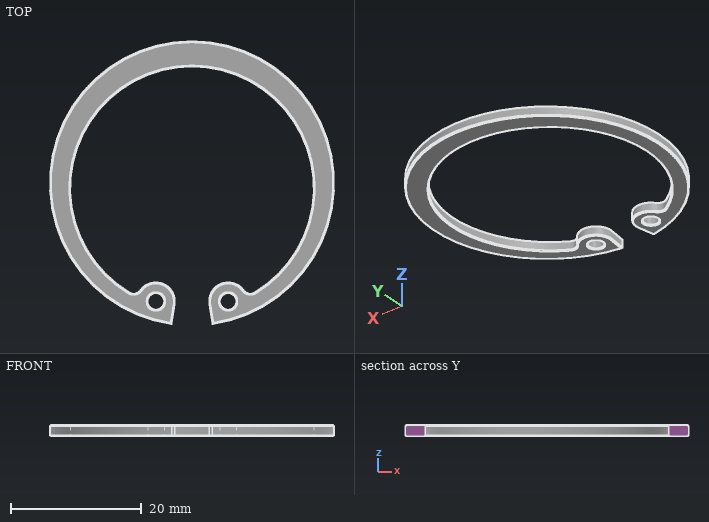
import cadquery as cq
import math

outer_radius = 21.7
thickness = 1.75
bore_radius = 18.6
bore_offset = 0.75
lug_radius = 2.9
lug_x = 5.5
lug_y = -18.03
lug_hole_diameter = 2.5
valley_radius = 1.3
tip_x = 3.13
edge_break = 0.17


def polar(center, radius, angle):
    """Point at the given radius and angle (radians) from center."""
    return (center[0] + radius * math.cos(angle), center[1] + radius * math.sin(angle))


def direction(start, end):
    """Angle of the line from start to end, in radians."""
    return math.atan2(end[1] - start[1], end[0] - start[0])


bore_center = (0, -bore_offset)
lug_center = (lug_x, lug_y)
tip = (tip_x, -math.sqrt(outer_radius**2 - tip_x**2))

bore_to_valley = bore_radius - valley_radius
lug_to_valley = lug_radius + valley_radius
bore_to_lug = math.dist(bore_center, lug_center)
angle_at_bore = math.acos(
    (bore_to_valley**2 + bore_to_lug**2 - lug_to_valley**2) / (2 * bore_to_valley * bore_to_lug)
)
bore_exit_angle = direction(bore_center, lug_center) + angle_at_bore
valley_center = polar(bore_center, bore_to_valley, bore_exit_angle)
valley_to_lug_angle = direction(valley_center, lug_center)

bore_end = polar(bore_center, bore_radius, bore_exit_angle)
valley_end = polar(valley_center, valley_radius, valley_to_lug_angle)
valley_mid_angle = (bore_exit_angle + valley_to_lug_angle % (2 * math.pi) - 2 * math.pi) / 2
valley_mid = polar(valley_center, valley_radius, valley_mid_angle)

tangent_half_angle = math.acos(lug_radius / math.dist(lug_center, tip))
lug_end_angle = direction(lug_center, tip) % (2 * math.pi) - tangent_half_angle
lug_end = polar(lug_center, lug_radius, lug_end_angle)
lug_start_angle = direction(lug_center, valley_center)
lug_mid = polar(lug_center, lug_radius, (lug_start_angle + lug_end_angle) / 2)


def mirrored(point):
    """Reflect a point across the YZ plane."""
    return (-point[0], point[1])


def make_ring():
    bore_top = (0, bore_radius - bore_offset)
    return (
        cq.Workplane("XY", origin=(0, 0, -thickness / 2))
        .moveTo(*tip)
        .threePointArc((0, outer_radius), mirrored(tip))
        .lineTo(*mirrored(lug_end))
        .threePointArc(mirrored(lug_mid), mirrored(valley_end))
        .threePointArc(mirrored(valley_mid), mirrored(bore_end))
        .threePointArc(bore_top, bore_end)
        .threePointArc(valley_mid, valley_end)
        .threePointArc(lug_mid, lug_end)
        .close()
        .extrude(thickness)
    )


def drill_lugs(ring):
    """Plier holes through both lugs."""
    return (
        ring.faces(">Z")
        .workplane(origin=(0, 0, 0))
        .pushPoints([lug_center, mirrored(lug_center)])
        .hole(lug_hole_diameter)
    )


result = drill_lugs(make_ring()).faces("|Z").edges().chamfer(edge_break)